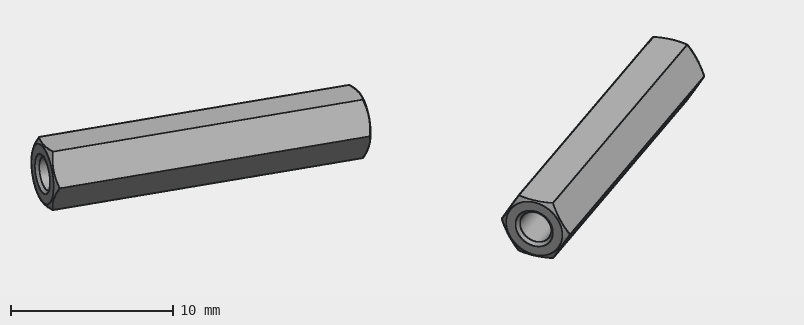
import cadquery as cq
import math

length = 21.0
across_flats = 4.0
across_corners = across_flats / math.cos(math.radians(30))

end_face_diameter = 3.78
chamfer_angle = 30.0

hole_diameter = 2.1
hole_depth = 6.3
countersink_diameter = 2.52
drill_point_angle = 118.0


def revolve_about_y(points):
    """Revolve a closed (radius, y) outline about the Y axis."""
    return cq.Workplane("XY").polyline(points).close().revolve(360, (0, 0, 0), (0, 1, 0))


def hexagonal_bar():
    return (
        cq.Workplane("XZ")
        .polygon(6, across_corners)
        .extrude(length / 2, both=True)
    )


def chamfer_envelope():
    """Round body with coned ends, used to trim the corners of the bar."""
    face_radius = end_face_diameter / 2
    outer_radius = across_corners
    cone_height = (outer_radius - face_radius) * math.tan(math.radians(chamfer_angle))
    end = length / 2
    shoulder = end - cone_height
    return revolve_about_y([
        (0, -end),
        (face_radius, -end),
        (outer_radius, -shoulder),
        (outer_radius, shoulder),
        (face_radius, end),
        (0, end),
    ])


def end_hole():
    """Cutter for the hole in the -Y end."""
    radius = hole_diameter / 2
    mouth_radius = countersink_diameter / 2
    countersink_depth = mouth_radius - radius
    point_height = radius / math.tan(math.radians(drill_point_angle / 2))
    mouth = -length / 2
    floor = mouth + hole_depth
    return revolve_about_y([
        (0, mouth),
        (mouth_radius, mouth),
        (radius, mouth + countersink_depth),
        (radius, floor),
        (0, floor + point_height),
    ])


hole = end_hole()
body = hexagonal_bar().intersect(chamfer_envelope())
result = body.cut(hole).cut(hole.mirror("XZ"))